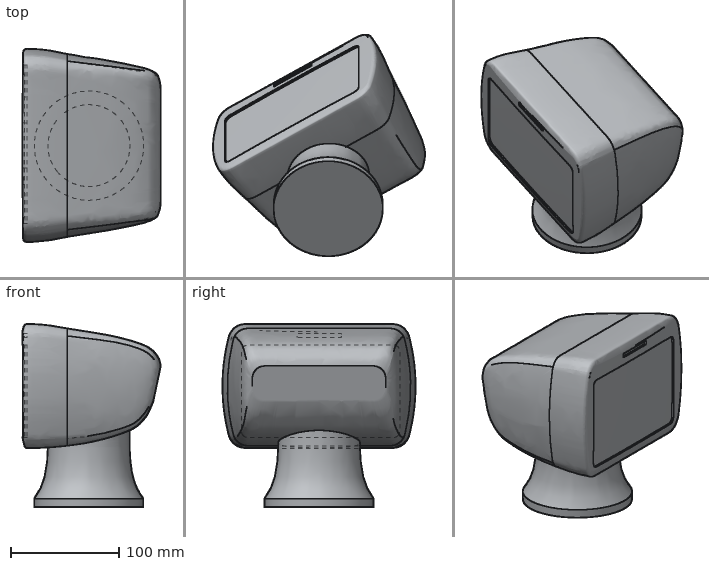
import cadquery as cq
import math


BASE_RADIUS = 50.5
BASE_HEIGHT = 7.9
NECK_WAIST_RADIUS = 37.9
NECK_MIDDLE_POINTS = [(41.6, 25.5), (38.5, 42.9), (37.9, 60.7)]
NECK_TOP_Z = 78.5

HOOD_FRONT_X = -61.8
HOOD_TOP_Z = 169.1
HOOD_BOTTOM_Z = 54.5
HOOD_HALF_WIDTH = 89.3
HOOD_SPLIT_X = -19.6
SPLIT_BLOCK_SIZE = 535.7
STRAIGHT_END_X = -51.5
SIDE_BULGE_RADIUS = 178.5
CORNER_RADIUS = 16.0
SEAM_SHARE = 0.2
SPREAD_STEPS = 8
CORNER_STEPS = 3

TAPER_STATIONS = [
    ((-19.6, 165.0), (-19.6, 56.6), 84.6, 13.7),
    ((11.6, 160.0), (7.1, 61.0), 80.0, 11.0),
    ((35.7, 154.6), (31.2, 68.2), 75.5, 9.0),
    ((50.0, 150.0), (42.5, 73.2), 72.9, 9.0),
    ((58.0, 145.5), (50.0, 79.8), 70.5, 9.8),
    ((62.9, 140.4), (55.4, 87.5), 67.9, 10.7),
    ((65.7, 134.6), (58.7, 95.2), 64.3, 11.6),
    ((66.6, 130.4), (60.0, 99.1), 61.6, 11.6),
]

LIP_DEPTH = 4.3
LIP_TOP_INSET = 11.5
LIP_BOTTOM_INSET = 16.6
LIP_SIDE_INSET = 8.2
LIP_FACE_CORNER_RADIUS = 9.0
LIP_STEPS = 4
FRONT_DOME_RADIUS = 3571.4

SCREEN_WIDTH = 146.2
SCREEN_HEIGHT = 85.4
SCREEN_CENTER_Y = 1.2
SCREEN_CENTER_Z = 107.1
SCREEN_CORNER_RADIUS = 5.7
LIGHT_WIDTH = 41.6
LIGHT_HEIGHT = 3.7
LIGHT_CENTER_Z = 158.7
LIGHT_CORNER_RADIUS = 1.5
INSERT_SINK = 1.8
INSERT_POCKET_DEPTH = 4.5


def section_wire(top, bottom, half_width, corner_radius):
    """Rounded outline with bulging sides, in the plane through the top and bottom points and Y."""
    bottom_point = cq.Vector(bottom[0], 0, bottom[1])
    top_point = cq.Vector(top[0], 0, top[1])
    center = (top_point + bottom_point) / 2
    up = (top_point - bottom_point).normalized()
    half_height = (top_point - bottom_point).Length / 2

    bulge_center_u = half_width - SIDE_BULGE_RADIUS
    corner_v = half_height - corner_radius
    center_gap = SIDE_BULGE_RADIUS - corner_radius
    corner_u = bulge_center_u + math.sqrt(center_gap**2 - corner_v**2)
    side_angle = math.asin(corner_v / center_gap)
    seam_angle = side_angle + (math.pi / 2 - side_angle) * SEAM_SHARE

    def on_corner(angle):
        return corner_u + corner_radius * math.cos(angle), corner_v + corner_radius * math.sin(angle)

    def on_side(angle):
        return bulge_center_u + SIDE_BULGE_RADIUS * math.cos(angle), SIDE_BULGE_RADIUS * math.sin(angle)

    def curve(points, turn):
        return cq.Edge.makeSpline([center + cq.Vector(0, turn * u, 0) + up * (turn * v) for u, v in points])

    spread = [math.cos(math.pi * k / SPREAD_STEPS) for k in range(SPREAD_STEPS + 1)]
    to_seam = [k / CORNER_STEPS for k in range(1, CORNER_STEPS + 1)]
    side_corner = [on_corner(side_angle + (seam_angle - side_angle) * t) for t in to_seam]
    top_corner = [on_corner(math.pi / 2 + (seam_angle - math.pi / 2) * t) for t in reversed(to_seam)]
    side = [(u, -v) for u, v in reversed(side_corner)]
    side += [on_side(-side_angle * t) for t in spread]
    side += side_corner
    top_curve = top_corner + [(corner_u * t, half_height) for t in spread]
    top_curve += [(-u, v) for u, v in reversed(top_corner)]
    edges = [curve(points, turn) for turn in (1, -1) for points in (side, top_curve)]
    return cq.Wire.assembleEdges(edges)


def lip_wire(step):
    """Outline on the quarter-round lip, from the front face (step 0) to the full size."""
    angle = math.pi / 2 * step / LIP_STEPS
    inset = 1 - math.sin(angle)
    x = HOOD_FRONT_X + LIP_DEPTH * (1 - math.cos(angle))
    return section_wire(
        (x, HOOD_TOP_Z - LIP_TOP_INSET * inset),
        (x, HOOD_BOTTOM_Z + LIP_BOTTOM_INSET * inset),
        HOOD_HALF_WIDTH - LIP_SIDE_INSET * inset,
        CORNER_RADIUS + (LIP_FACE_CORNER_RADIUS - CORNER_RADIUS) * inset,
    )


def full_wire(x):
    """Outline of the straight part of the hood at x."""
    return section_wire((x, HOOD_TOP_Z), (x, HOOD_BOTTOM_Z), HOOD_HALF_WIDTH, CORNER_RADIUS)


def dome(sink):
    """Large ball whose -X side is the front dome, set back by sink."""
    return cq.Workplane().sphere(FRONT_DOME_RADIUS).translate(
        (HOOD_FRONT_X + sink + FRONT_DOME_RADIUS, 0, (HOOD_TOP_Z + HOOD_BOTTOM_Z) / 2)
    )


def make_hood():
    """Whole hood, before it is split into bezel and rear cover."""
    wires = [lip_wire(step) for step in range(LIP_STEPS + 1)]
    lip_end_x = HOOD_FRONT_X + LIP_DEPTH
    wires.append(full_wire((lip_end_x + STRAIGHT_END_X) / 2))
    wires.append(full_wire(STRAIGHT_END_X))
    wires += [section_wire(*station) for station in TAPER_STATIONS]
    hood = cq.occ_impl.shapes.loft(wires, cap=True, parametrization="chordal", compat=False)
    return cq.Workplane(hood).intersect(dome(0))


def front_block(width, height, center_y, center_z, corner_radius):
    """Rounded bar along X that marks an opening in the front, down to the pocket floor."""
    return (
        cq.Workplane("YZ", origin=(HOOD_FRONT_X, center_y, center_z))
        .rect(width, height)
        .extrude(INSERT_POCKET_DEPTH)
        .edges("|X")
        .fillet(corner_radius)
    )


def make_neck(hood):
    """Flared neck that stands on the base and carries the hood."""
    profile = (
        cq.Workplane("XZ")
        .moveTo(0, BASE_HEIGHT)
        .lineTo(BASE_RADIUS, BASE_HEIGHT)
        .spline(NECK_MIDDLE_POINTS + [(NECK_WAIST_RADIUS, NECK_TOP_Z)], includeCurrent=True)
        .lineTo(0, NECK_TOP_Z)
        .close()
    )
    return profile.revolve(360, (0, 0), (0, 1)).cut(hood)


hood = make_hood()
rear_side = cq.Workplane("YZ", origin=(HOOD_SPLIT_X, 0, 0)).rect(SPLIT_BLOCK_SIZE, SPLIT_BLOCK_SIZE)
rear_side = rear_side.extrude(SPLIT_BLOCK_SIZE)

screen_block = front_block(
    SCREEN_WIDTH, SCREEN_HEIGHT, SCREEN_CENTER_Y, SCREEN_CENTER_Z, SCREEN_CORNER_RADIUS
)
light_block = front_block(LIGHT_WIDTH, LIGHT_HEIGHT, 0, LIGHT_CENTER_Z, LIGHT_CORNER_RADIUS)

bezel = hood.cut(rear_side).cut(screen_block).cut(light_block)
rear_cover = hood.intersect(rear_side)
screen = screen_block.intersect(dome(INSERT_SINK))
light_bar = light_block.intersect(dome(INSERT_SINK))
neck = make_neck(hood)
base = cq.Workplane().circle(BASE_RADIUS).extrude(BASE_HEIGHT)

result = cq.Compound.makeCompound(
    [bezel.val(), rear_cover.val(), screen.val(), light_bar.val(), neck.val(), base.val()]
)